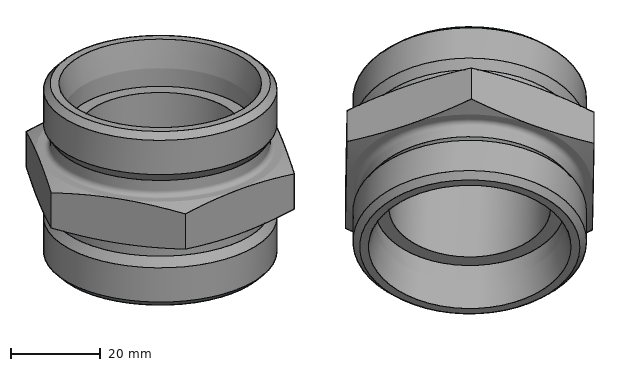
import cadquery as cq
import math

corner_width = 63.5
flat_width = corner_width * math.cos(math.radians(30))
length = 43.0
half_length = length / 2

hex_height = 11.0
half_hex = hex_height / 2
hex_chamfer_angle = 15.0

end_radius = 52.0 / 2
neck_radius = 49.0 / 2
end_chamfer = end_radius - neck_radius
land_depth = 10.0
neck_depth = 12.1
neck_fillet = 1.3

bore_radius = 36.0 / 2
seat_radius = 42.3 / 2
mouth_radius = 22.55
cone_angle = 12.0
cone_depth = (mouth_radius - seat_radius) / math.tan(math.radians(cone_angle))
seat_depth = 11.0


def make_hex():
    """Hexagon with corners on Y, its corners bevelled by a double cone."""
    prism = (
        cq.Workplane("XY")
        .polygon(6, corner_width)
        .extrude(half_hex, both=True)
        .rotate((0, 0, 0), (0, 0, 1), 90)
    )
    corner_radius = corner_width / 2
    flat_radius = flat_width / 2
    drop = (corner_radius - flat_radius) * math.tan(math.radians(hex_chamfer_angle))
    envelope = (
        cq.Workplane("XZ")
        .moveTo(0, -half_hex)
        .lineTo(flat_radius, -half_hex)
        .lineTo(corner_radius, drop - half_hex)
        .lineTo(corner_radius, half_hex - drop)
        .lineTo(flat_radius, half_hex)
        .lineTo(0, half_hex)
        .close()
        .revolve(360, (0, 0, 0), (0, 1, 0))
    )
    return prism.intersect(envelope)


def make_end():
    """Upper round end: chamfered land, tapered neck and fillet onto the collar."""
    arc_offset = neck_fillet * (1 - math.sqrt(0.5))
    return (
        cq.Workplane("XZ")
        .lineTo(neck_radius + neck_fillet, 0)
        .lineTo(neck_radius + neck_fillet, half_hex)
        .threePointArc(
            (neck_radius + arc_offset, half_hex + arc_offset),
            (neck_radius, half_hex + neck_fillet),
        )
        .lineTo(neck_radius, half_length - neck_depth)
        .lineTo(end_radius, half_length - land_depth)
        .lineTo(end_radius, half_length - end_chamfer)
        .lineTo(end_radius - end_chamfer, half_length)
        .lineTo(0, half_length)
        .close()
        .revolve(360, (0, 0, 0), (0, 1, 0))
    )


def make_socket():
    """Cutter for the upper tube socket: sealing cone, then a straight seat."""
    return (
        cq.Workplane("XZ")
        .moveTo(0, half_length)
        .lineTo(mouth_radius, half_length)
        .lineTo(seat_radius, half_length - cone_depth)
        .lineTo(seat_radius, half_length - seat_depth)
        .lineTo(0, half_length - seat_depth)
        .close()
        .revolve(360, (0, 0, 0), (0, 1, 0))
    )


upper_end = make_end()
upper_socket = make_socket()
bore = cq.Workplane("XY").circle(bore_radius).extrude(half_length, both=True)

result = (
    make_hex()
    .union(upper_end)
    .union(upper_end.mirror("XY"))
    .cut(upper_socket)
    .cut(upper_socket.mirror("XY"))
    .cut(bore)
)